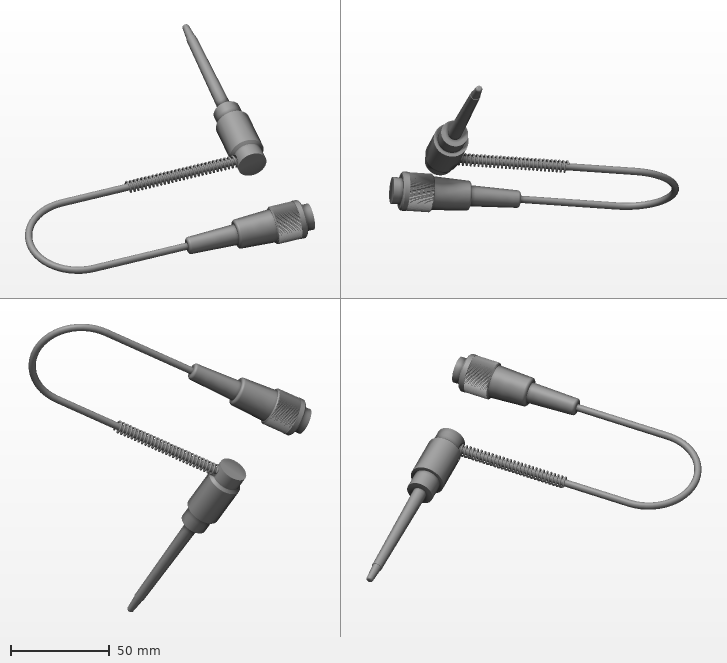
import cadquery as cq
import math


TIP_START = -100.5
SHAFT_START = -90.7
COLLAR_START = -38.1
TIP_END_DIA = 3.4
TIP_BASE_DIA = 4.8
TIP_ROUND = 1.0
SHAFT_FRONT_DIA = 5.3
COLLAR_DIA = 7.0

NOSE_START = -35.4
GRIP_START = -26.0
GRIP_END = -3.8
REAR_START = -2.4
HOUSING_END = 5.0
NOSE_DIA = 14.0
GRIP_DIA = 18.0
REAR_DIA = 15.0
PIN_HOLE_DIA = 1.5
PIN_HOLE_DEPTH = 1.6
PIN_HOLE_X = -6.5

CABLE_DIA = 3.7
CONNECTOR_X = 49.8
BEND_RADIUS = CONNECTOR_X / 2
CABLE_LOWEST_Y = -126.7
BEND_CENTER_Y = CABLE_LOWEST_Y + CABLE_DIA / 2 + BEND_RADIUS
CABLE_INSERTION = 3.2

WIRE_DIA = 1.0
SPRING_DIA = 6.5
SPRING_TURNS = 28.7
SPRING_START_ANGLE = 288
SPRING_START_Y = -6.7
SPRING_END_Y = -65.5
SPRING_SEAT_DIA = SPRING_DIA + 0.2

BOOT_END_Y = -50.2
SHELL_END_Y = -24.4
RING_END_Y = -4.8
KNURL_FRONT_Y = 8.2
RING_FRONT_Y = 11.4
PLUG_FRONT_Y = 15.9
BOOT_END_DIA = 8.8
BOOT_BASE_DIA = 10.7
BOOT_ROUND = 1.5
SHELL_END_DIA = 15.0
SHELL_BASE_DIA = 17.1
SHELL_ROUND = 1.5
PLUG_DIA = 13.6

RING_DIA = 19.9
RING_CHAMFER = 0.8
KNURL_DIA = 19.5
KNURL_TEETH = 90
KNURL_DEPTH = 0.4


def cylinder_y(diameter, y_start, y_end, x=0):
    """Cylinder along Y from y_start up to y_end."""
    return (
        cq.Workplane("XZ", origin=(x, y_end, 0))
        .circle(diameter / 2)
        .extrude(y_end - y_start)
    )


def cone_y(start_diameter, end_diameter, y_start, y_end, x=0):
    """Cone frustum along Y, given its diameters at y_start and y_end."""
    profile = [
        (x, y_start),
        (x + start_diameter / 2, y_start),
        (x + end_diameter / 2, y_end),
        (x, y_end),
    ]
    return cq.Workplane("XY").polyline(profile).close().revolve(360, (x, 0), (x, 1))


def make_probe():
    """Rounded conical tip, tapered shaft and short collar, turned about X."""
    outline = [
        (TIP_START, 0),
        (TIP_START, TIP_END_DIA / 2),
        (SHAFT_START, TIP_BASE_DIA / 2),
        (SHAFT_START, SHAFT_FRONT_DIA / 2),
        (COLLAR_START, COLLAR_DIA / 2),
        (NOSE_START, COLLAR_DIA / 2),
        (NOSE_START, 0),
    ]
    probe = cq.Workplane("XY").polyline(outline).close().revolve(360, (0, 0), (1, 0))
    return probe.faces("<X").edges().fillet(TIP_ROUND)


def make_housing():
    """Stepped handle with a side outlet for the cable and its spring."""
    outline = [
        (NOSE_START, 0),
        (NOSE_START, NOSE_DIA / 2),
        (GRIP_START, NOSE_DIA / 2),
        (GRIP_START, GRIP_DIA / 2),
        (GRIP_END, GRIP_DIA / 2),
        (REAR_START, REAR_DIA / 2),
        (HOUSING_END, REAR_DIA / 2),
        (HOUSING_END, 0),
    ]
    housing = cq.Workplane("XY").polyline(outline).close().revolve(360, (0, 0), (1, 0))
    spring_seat = cylinder_y(SPRING_SEAT_DIA, -GRIP_DIA / 2, SPRING_START_Y)
    cable_hole = cylinder_y(CABLE_DIA, -GRIP_DIA / 2, SPRING_START_Y + CABLE_INSERTION)
    pin_hole = cylinder_y(PIN_HOLE_DIA, -GRIP_DIA / 2, -GRIP_DIA / 2 + PIN_HOLE_DEPTH, PIN_HOLE_X)
    return housing.cut(spring_seat).cut(cable_hole).cut(pin_hole)


def make_spring():
    """Round wire wound in a right-handed helix about the cable outlet axis."""
    coil_radius = (SPRING_DIA - WIRE_DIA) / 2
    rise = SPRING_START_Y - SPRING_END_Y - WIRE_DIA
    helix = cq.Wire.makeHelix(rise / SPRING_TURNS, rise, coil_radius)
    section = cq.Workplane("XZ", origin=(coil_radius, 0, 0)).circle(WIRE_DIA / 2)
    spring = section.sweep(cq.Workplane(obj=helix), isFrenet=True)
    spring = spring.rotate((0, 0, 0), (0, 0, 1), SPRING_START_ANGLE)
    spring = spring.rotate((0, 0, 0), (1, 0, 0), 90)
    return spring.translate((0, SPRING_START_Y - WIRE_DIA / 2, 0))


def make_cable():
    """Cable from the handle, around a half-circle bend, into the connector."""
    start_y = SPRING_START_Y + CABLE_INSERTION
    end_y = BOOT_END_Y + CABLE_INSERTION
    path = (
        cq.Workplane("XY")
        .moveTo(0, start_y)
        .lineTo(0, BEND_CENTER_Y)
        .threePointArc((BEND_RADIUS, BEND_CENTER_Y - BEND_RADIUS), (CONNECTOR_X, BEND_CENTER_Y))
        .lineTo(CONNECTOR_X, end_y)
    )
    return cq.Workplane("XZ", origin=(0, start_y, 0)).circle(CABLE_DIA / 2).sweep(path)


def make_connector():
    """Tapered boot, tapered shell and the plug that carries the coupling ring."""
    boot = cone_y(BOOT_END_DIA, BOOT_BASE_DIA, BOOT_END_Y, SHELL_END_Y, CONNECTOR_X)
    boot = boot.faces("<Y").edges().fillet(BOOT_ROUND)
    shell = cone_y(SHELL_END_DIA, SHELL_BASE_DIA, SHELL_END_Y, RING_END_Y, CONNECTOR_X)
    shell = shell.faces("<Y").edges().fillet(SHELL_ROUND)
    plug = cylinder_y(PLUG_DIA, RING_END_Y, PLUG_FRONT_Y, CONNECTOR_X)
    cable_hole = cylinder_y(CABLE_DIA, BOOT_END_Y, BOOT_END_Y + CABLE_INSERTION, CONNECTOR_X)
    return boot.union(shell).union(plug).cut(cable_hole)


def make_coupling_ring():
    """Ring on the plug: a plain front band and a band of straight V-shaped knurls."""
    band = cylinder_y(RING_DIA, KNURL_FRONT_Y, RING_FRONT_Y, CONNECTOR_X)
    band = band.faces(">Y").edges().chamfer(RING_CHAMFER)
    points = []
    for i in range(2 * KNURL_TEETH):
        angle = math.pi * i / KNURL_TEETH
        radius = KNURL_DIA / 2 - KNURL_DEPTH * (i % 2)
        points.append((radius * math.cos(angle), radius * math.sin(angle)))
    knurl = (
        cq.Workplane("XZ", origin=(CONNECTOR_X, KNURL_FRONT_Y, 0))
        .polyline(points)
        .close()
        .extrude(KNURL_FRONT_Y - RING_END_Y)
    )
    ring_limit = cylinder_y(KNURL_DIA, RING_END_Y, KNURL_FRONT_Y, CONNECTOR_X)
    ring_limit = ring_limit.faces("<Y").edges().chamfer(RING_CHAMFER)
    bore = cylinder_y(PLUG_DIA, RING_END_Y, RING_FRONT_Y, CONNECTOR_X)
    return band.union(knurl.intersect(ring_limit)).cut(bore)


probe = make_probe()
housing = make_housing()
spring = make_spring()
cable = make_cable()
connector = make_connector()
coupling_ring = make_coupling_ring()

result = cq.Compound.makeCompound(
    [
        probe.val(),
        housing.val(),
        spring.val(),
        cable.val(),
        connector.val(),
        coupling_ring.val(),
    ]
)